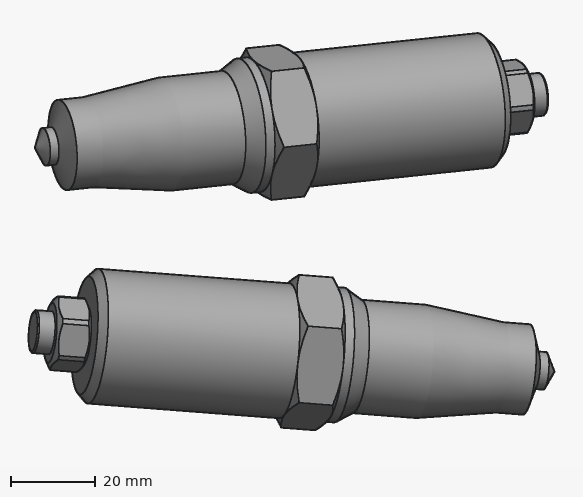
import cadquery as cq
import math

LENGTH = 126.6

TIP_DIAMETER = 9.0
NOSE_DIAMETER = 21.5
NECK_DIAMETER = 27.0
BODY_DIAMETER = 32.0
STUD_DIAMETER = 10.3

TIP_CONE_END = 2.4
TIP_END = 4.5
NOSE_START = 7.0
NOSE_END = 13.4
NECK_START = 32.5
NECK_END = 48.1
SHOULDER_END = 52.3
HEX_START = 54.6
HEX_END = 65.6
BODY_END = 114.1
NUT_END = 122.4

BODY_CHAMFER = 2.0
STUD_CHAMFER = 0.4
HEX_FLATS = BODY_DIAMETER
NUT_FLATS = 16.0
NUT_CORNER_DIAMETER = 17.7
NUT_FACE_DIAMETER = 14.2
HEX_CHAMFER_ANGLE = 30.0

CORNERS_PER_FLATS = 1 / math.cos(math.radians(30))


def turned(profile):
    """Turn (radius, distance from the tip) points about the Y axis."""
    points = [(radius, distance - LENGTH / 2) for radius, distance in profile]
    return cq.Workplane("XY").polyline(points).close().revolve(360, (0, 0), (0, 1))


def hexagon(flats, face_diameter, corner_diameter, start, end):
    """Hexagon with corners on +X and -X, trimmed by a cylinder with coned ends."""
    prism = (
        cq.Workplane("XZ", origin=(0, start - LENGTH / 2, 0))
        .polygon(6, flats * CORNERS_PER_FLATS)
        .extrude(start - end)
    )
    face_radius = face_diameter / 2
    corner_radius = corner_diameter / 2
    cone_length = (corner_radius - face_radius) * math.tan(math.radians(HEX_CHAMFER_ANGLE))
    envelope = turned([
        (0, start),
        (face_radius, start),
        (corner_radius, start + cone_length),
        (corner_radius, end - cone_length),
        (face_radius, end),
        (0, end),
    ])
    return prism.intersect(envelope)


body_radius = BODY_DIAMETER / 2
body = turned([
    (0, 0),
    (TIP_DIAMETER / 2, TIP_CONE_END),
    (TIP_DIAMETER / 2, TIP_END),
    (NOSE_DIAMETER / 2, NOSE_START),
    (NOSE_DIAMETER / 2, NOSE_END),
    (NECK_DIAMETER / 2, NECK_START),
    (NECK_DIAMETER / 2, NECK_END),
    (body_radius, SHOULDER_END),
    (body_radius, BODY_END - BODY_CHAMFER),
    (body_radius - BODY_CHAMFER, BODY_END),
    (0, BODY_END),
])

stud_radius = STUD_DIAMETER / 2
stud = turned([
    (0, BODY_END),
    (stud_radius, BODY_END),
    (stud_radius, LENGTH - STUD_CHAMFER),
    (stud_radius - STUD_CHAMFER, LENGTH),
    (0, LENGTH),
])

hex_corner_diameter = HEX_FLATS * CORNERS_PER_FLATS
wrench_hex = hexagon(HEX_FLATS, HEX_FLATS, hex_corner_diameter, HEX_START, HEX_END)
nut = hexagon(NUT_FLATS, NUT_FACE_DIAMETER, NUT_CORNER_DIAMETER, BODY_END, NUT_END)

result = body.union(wrench_hex).union(nut).union(stud)